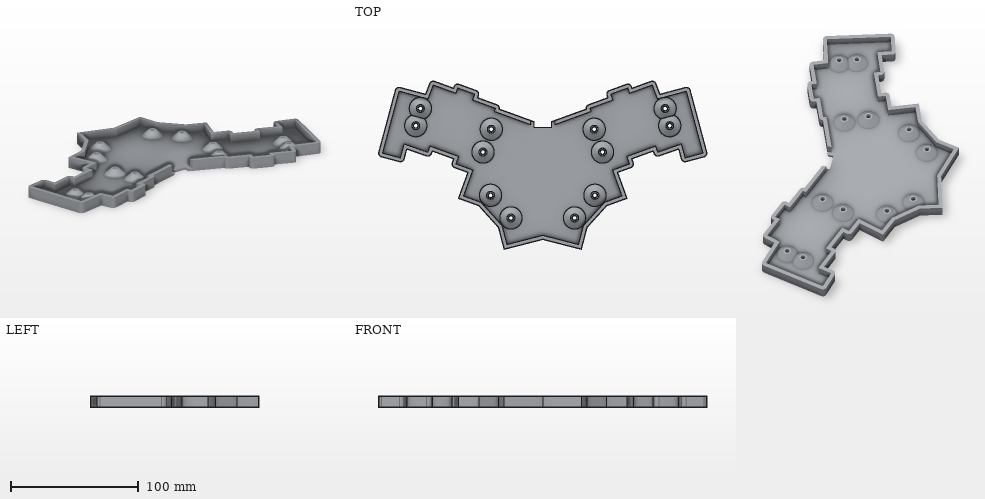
import cadquery as cq
import math

total_width = 256.5
tray_height = 9.0
floor_thickness = 2.0
wall_thickness = 3.0

column_tilt = 20
pinky_tilt = 15

post_base_diameter = 17.5
post_top_diameter = 6.2
post_height = 5
screw_hole_diameter = 3.5

wall_gap_width = 19.5
notch_width = 13.3
notch_front_y = 29.7
opening_depth = 11.3

ring_left = -101.8
ring_bottom, ring_top = -21.0, 29.7
middle_bottom, middle_top = -16.0, 34.0
index_bottom, index_top = -22.0, 29.2
inner_top = 26.7
middle_left_top, middle_left_bottom = -83.0, -88.0
index_left_top, index_left_bottom = -69.0, -64
inner_left = -50.0

pinky_right = -109.0
pinky_bottom, pinky_top = -23, 27.0
pinky_right_end = -11.8
pinky_top_end = -100

pinky_corner_x = wall_thickness - total_width / 2
pinky_lean = math.radians(pinky_tilt)
pinky_left = (pinky_corner_x - pinky_bottom * math.sin(pinky_lean)) / math.cos(pinky_lean)

thumb_shoulder_right, thumb_shoulder_bottom = -35.5, -43.5
thumb_waist = (-31.8, -47.0)
thumb_tip = (-28.0, -61.8)
thumb_middle = (0, -54.5)

pinky_post_u, pinky_post_v = -103.8, (18.2, 4.4)
index_post_u, index_post_v = -47.5, (12.8, -6.2)
thumb_posts = [(-40.8, -23.3), (-24.9, -41)]


def tilted(angle, points):
    """Turn points given square to a slanted column clockwise into the tray axes."""
    cosine = math.cos(math.radians(angle))
    sine = math.sin(math.radians(angle))
    return [(u * cosine + v * sine, v * cosine - u * sine) for u, v in points]


def mirrored(points):
    """Mirror points to the right half, reversed so that the outline runs on."""
    return [(-x, y) for x, y in reversed(points)]


back_middle = (0, inner_top / math.cos(math.radians(column_tilt)))
back_edge = tilted(column_tilt, [
    (inner_left, inner_top),
    (inner_left, index_top),
    (index_left_top, index_top),
    (index_left_top, middle_top),
    (middle_left_top, middle_top),
    (middle_left_top, ring_top),
    (ring_left, ring_top),
])
pinky_edge = tilted(pinky_tilt, [
    (pinky_top_end, pinky_top),
    (pinky_left, pinky_top),
    (pinky_left, pinky_bottom),
    (pinky_right, pinky_bottom),
    (pinky_right, pinky_right_end),
])
front_edge = tilted(column_tilt, [
    (middle_left_bottom, ring_bottom),
    (middle_left_bottom, middle_bottom),
    (index_left_bottom, middle_bottom),
    (index_left_bottom, index_bottom),
    (inner_left, index_bottom),
])
thumb_shoulder = tilted(column_tilt, [
    (inner_left, thumb_shoulder_bottom),
    (thumb_shoulder_right, thumb_shoulder_bottom),
])
thumb_edge = front_edge[-1:] + thumb_shoulder + [thumb_waist, thumb_tip]

finger_half = back_edge + pinky_edge + front_edge
finger_outline = [back_middle] + finger_half + mirrored(finger_half)
thumb_outline = thumb_edge + [thumb_middle] + mirrored(thumb_edge)

posts_left = (
    tilted(pinky_tilt, [(pinky_post_u, v) for v in pinky_post_v])
    + tilted(column_tilt, [(index_post_u, v) for v in index_post_v])
    + thumb_posts
)
posts = posts_left + mirrored(posts_left)


def tray_body():
    """Outer block: rounded corners round the fingers, sharp ones round the thumbs."""
    fingers = cq.Workplane("XY").polyline(finger_outline).close().offset2D(wall_thickness, "arc")
    thumbs = cq.Workplane("XY").polyline(thumb_outline).close().offset2D(wall_thickness, "intersection")
    return fingers.extrude(tray_height).union(thumbs.extrude(tray_height))


def cavity():
    above_floor = cq.Workplane("XY").workplane(offset=floor_thickness)
    fingers = above_floor.polyline(finger_outline).close().extrude(tray_height)
    thumbs = above_floor.polyline(thumb_outline).close().extrude(tray_height)
    return fingers.union(thumbs)


def cable_opening():
    """Gap through the back wall, with a narrower notch through the floor."""
    gap = (
        cq.Workplane("XY", origin=(0, back_middle[1], floor_thickness))
        .rect(wall_gap_width, 2 * opening_depth)
        .extrude(tray_height)
    )
    floor_notch = (
        cq.Workplane("XY", origin=(0, notch_front_y + opening_depth / 2, 0))
        .rect(notch_width, opening_depth)
        .extrude(tray_height)
    )
    return gap.union(floor_notch)


def screw_post():
    return (
        cq.Workplane("XY", origin=(0, 0, floor_thickness))
        .circle(post_base_diameter / 2)
        .workplane(offset=post_height)
        .circle(post_top_diameter / 2)
        .loft()
    )


def screw_holes():
    return cq.Workplane("XY").pushPoints(posts).circle(screw_hole_diameter / 2).extrude(tray_height)


result = tray_body().cut(cavity()).cut(cable_opening())
for x, y in posts:
    result = result.union(screw_post().translate((x, y, 0)))
result = result.cut(screw_holes())